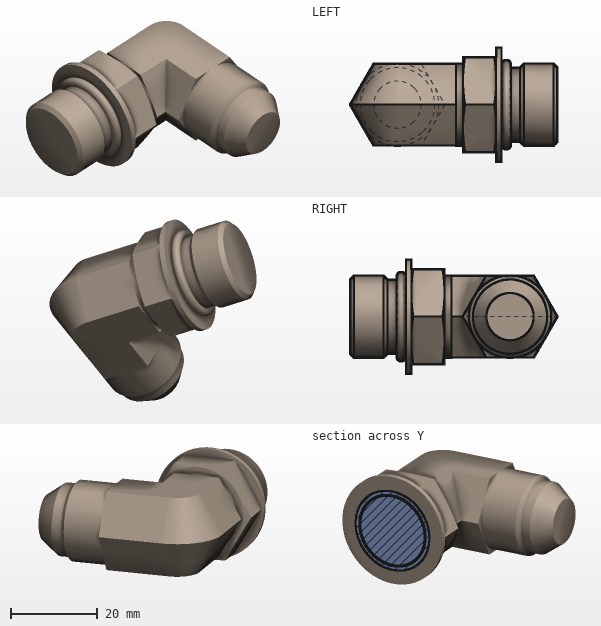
import cadquery as cq
import math

total_length_y = 47.95
total_length_x = 45.3
washer_radius = 13.265

body_flats = 19.0
body_corner_radius = body_flats / math.sqrt(3)
flare_leg_length = 15.35
stud_leg_length = 13.58

thread_diameter = 19.05
thread_radius = thread_diameter / 2
relief_radius = 8.6
end_chamfer = thread_radius - relief_radius

flare_tip = total_length_x - washer_radius
flare_thread_end = 24.4
flare_cone_start = 27.75
flare_tip_radius = 5.45

nut_start = 15.15
nut_end = 22.85
washer_end = 24.1
groove_end = 28.3
stud_thread_start = 29.3
stud_tip = total_length_y - body_corner_radius

nut_flats = 22.0
nut_corner_radius = nut_flats / math.sqrt(3)
nut_chamfer_angle = math.radians(15)

ring_outer_radius = 10.35
ring_section_radius = 1.1
ring_end = 26.25


def hexagon_points(across_flats):
    """Corners of a hexagon with two corners on the local x axis."""
    radius = across_flats / math.sqrt(3)
    angles = [math.radians(60 * i) for i in range(6)]
    return [(radius * math.cos(a), radius * math.sin(a)) for a in angles]


def hex_bar_along_minus_y(across_flats, start, end):
    """Hexagonal bar between two distances along -Y, with corners toward +X and -X."""
    plane = cq.Workplane("XZ", origin=(0, -start, 0))
    return plane.polyline(hexagon_points(across_flats)).close().extrude(end - start)


def stud_revolve(profile):
    """Turn (radius, distance along -Y) points about the Y axis."""
    points = [(radius, -distance) for radius, distance in profile]
    return cq.Workplane("XY").polyline(points).close().revolve(360, (0, 0), (0, 1))


def elbow_body():
    """Two hexagonal legs meeting at a right angle, rounded on the outside."""
    stud_leg = hex_bar_along_minus_y(body_flats, 0, stud_leg_length)
    flare_leg = hex_bar_along_minus_y(body_flats, 0, flare_leg_length).rotate((0, 0, 0), (0, 0, 1), 90)

    half_hexagon = [
        (0, -body_flats / 2),
        (-body_corner_radius / 2, -body_flats / 2),
        (-body_corner_radius, 0),
        (-body_corner_radius / 2, body_flats / 2),
        (0, body_flats / 2),
    ]
    corner = cq.Workplane("XZ").polyline(half_hexagon).close().revolve(90, (0, 0), (0, -1))
    return stud_leg.union(flare_leg).union(corner)


def flared_end():
    """Threaded spigot with a relief and a sealing cone, turned about X."""
    profile = [
        (flare_leg_length, 0),
        (flare_leg_length, thread_radius),
        (flare_thread_end, thread_radius),
        (flare_thread_end + end_chamfer, relief_radius),
        (flare_cone_start, relief_radius),
        (flare_tip, flare_tip_radius),
        (flare_tip, 0),
    ]
    return cq.Workplane("XY").polyline(profile).close().revolve(360, (0, 0), (1, 0))


def stud_end():
    """Neck, nut core, washer, ring groove and thread, turned about Y."""
    return stud_revolve([
        (0, stud_leg_length),
        (thread_radius, stud_leg_length),
        (thread_radius, nut_end),
        (washer_radius, nut_end),
        (washer_radius, washer_end),
        (relief_radius, washer_end),
        (relief_radius, groove_end),
        (thread_radius, stud_thread_start),
        (thread_radius, stud_tip - end_chamfer),
        (relief_radius, stud_tip),
        (0, stud_tip),
    ])


def lock_nut():
    """Hexagon nut whose corners are chamfered at both ends."""
    chamfer_radius = nut_flats / 2
    chamfer_height = (nut_corner_radius - chamfer_radius) * math.tan(nut_chamfer_angle)
    chamfered_blank = stud_revolve([
        (0, nut_start),
        (chamfer_radius, nut_start),
        (nut_corner_radius, nut_start + chamfer_height),
        (nut_corner_radius, nut_end - chamfer_height),
        (chamfer_radius, nut_end),
        (0, nut_end),
    ])
    return hex_bar_along_minus_y(nut_flats, nut_start, nut_end).intersect(chamfered_blank)


def sealing_ring():
    """Round-section ring seated in the stud groove against the washer."""
    section_centre_radius = ring_outer_radius - ring_section_radius
    section = cq.Workplane("XY").center(section_centre_radius, ring_section_radius - ring_end)
    axis_start = (-section_centre_radius, 0)
    axis_end = (-section_centre_radius, 1)
    return section.circle(ring_section_radius).revolve(360, axis_start, axis_end)


result = elbow_body().union(flared_end()).union(stud_end()).union(lock_nut()).union(sealing_ring())